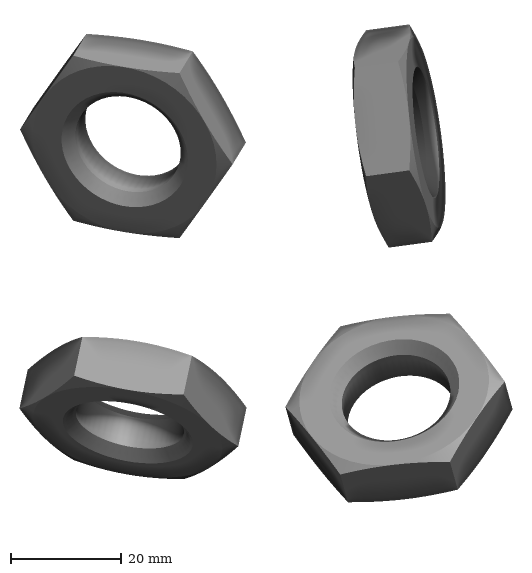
import cadquery as cq
import math

across_corners = 40.4
thickness = 10.0
bore_diameter = 20.0
countersink_diameter = 24.0
countersink_half_angle = 45.0
corner_chamfer_angle = 20.0

across_flats = across_corners * math.cos(math.radians(30))
flat_relief = 0.1
face_diameter = across_flats - flat_relief
corner_drop = (across_corners - face_diameter) / 2 * math.tan(math.radians(corner_chamfer_angle))
countersink_depth = (
    (countersink_diameter - bore_diameter) / 2 / math.tan(math.radians(countersink_half_angle))
)


def revolve_about_y(profile):
    """Turn a closed list of (radius, y) points around the Y axis."""
    return cq.Workplane("XY").polyline(profile).close().revolve(360, (0, 0, 0), (0, 1, 0))


def hex_blank():
    return cq.Workplane("XZ").polygon(6, across_corners).extrude(thickness / 2, both=True)


def chamfer_envelope():
    """Disc with conical rims that trims the six corners at both ends."""
    end = thickness / 2
    face_radius = face_diameter / 2
    rim_radius = across_corners / 2
    rim = end - corner_drop
    return revolve_about_y(
        [
            (0, -end),
            (face_radius, -end),
            (rim_radius, -rim),
            (rim_radius, rim),
            (face_radius, end),
            (0, end),
        ]
    )


def countersunk_bore():
    """Through bore that widens in a cone at both ends."""
    end = thickness / 2
    bore_radius = bore_diameter / 2
    mouth_radius = countersink_diameter / 2
    throat = end - countersink_depth
    return revolve_about_y(
        [
            (0, -end),
            (mouth_radius, -end),
            (bore_radius, -throat),
            (bore_radius, throat),
            (mouth_radius, end),
            (0, end),
        ]
    )


result = hex_blank().intersect(chamfer_envelope()).cut(countersunk_bore())